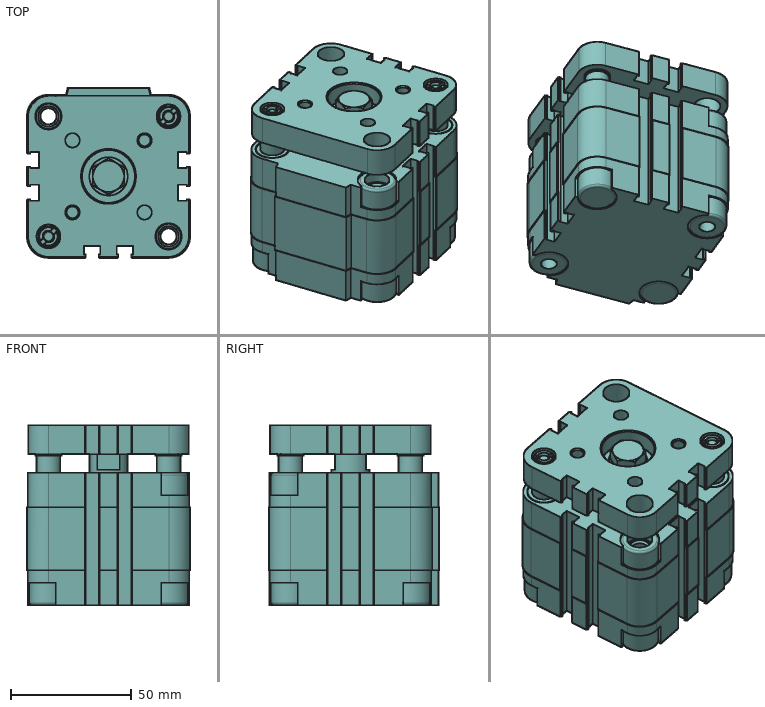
import cadquery as cq
import math

TOTAL_HEIGHT = 75.0
PLATE_THICKNESS = 12.0
PLATE_BOTTOM = TOTAL_HEIGHT - PLATE_THICKNESS
HOUSING_HEIGHT = 55.3
BARREL_BOTTOM = 14.7
BARREL_TOP = 40.9

CORNER_CENTRE = 25.0
BARREL_HALF = 34.0
CAP_HALF = 33.7
PLATE_HALF = 33.5

BARREL_RAIL_Y = 37.0
RAIL_SETBACK = BARREL_HALF - CAP_HALF
CAP_RAIL_Y = BARREL_RAIL_Y - RAIL_SETBACK
RAIL_TOP_HALF = 17.0
RAIL_BASE_HALF = 17.7

SLOT_OFFSET = 6.8
SLOT_FLOOR = 29.0
SLOT_LIP = 32.5
SLOT_HALF = 3.3
MOUTH_HALF = 2.7
MOUTH_CHAMFER = 0.4

SEAT_RADIUS = 8.1
SEAT_HEIGHT = 9.5
SEAT_INNER = 22.0
SEAT_FILLET = 1.0

CUT_MARGIN = 1.0

MOUNT_DIAMETER = 6.65
MOUNT_HEAD_DIAMETER = 10.4
MOUNT_HEAD_DEPTH = 4.2
MOUNT_SINK_DIAMETER = 8.57
MOUNT_SINK_DEPTH = (MOUNT_SINK_DIAMETER - MOUNT_DIAMETER) / 2

ROD_DIAMETER = 16.0
ROD_FLATS = 13.0
ROD_FLATS_BOTTOM = 56.5
GUIDE_DIAMETER = 10.0
GUIDE_COLLAR_DIAMETER = 11.0
GUIDE_COLLAR_HEIGHT = 0.7
ROD_INSERTION = 40.0
ROD_END = HOUSING_HEIGHT - ROD_INSERTION
BUSH_DIAMETER = 14.0
BUSH_GROOVE_WIDTH = 0.2
BUSH_GROOVE_DEPTH = 0.1

ACCESS_DIAMETER = 11.0
THREAD_CENTRE = 15.0
DOWEL_DIAMETER = 6.0
THREAD_DIAMETER = 4.92
THREAD_CHAMFER = (DOWEL_DIAMETER - THREAD_DIAMETER) / 2
RECESS_DIAMETER = 22.0
RECESS_DEPTH = 8.0
RECESS_CHAMFER = 0.5

WASHER_DIAMETER = 16.0
WASHER_THICKNESS = 1.6
HEAD_FLATS = 13.0
HEAD_HEIGHT = 5.3
HEAD_CHAMFER_ANGLE = 30.0

END_RECESS_DIAMETER = 10.0
END_GAP_DEPTH = 2.2
END_FACE_DIAMETER = 8.57
END_FACE_SETBACK = 0.2
END_FACE_CHAMFER = 0.5
END_SLOT_WIDTH = 2.0
END_SLOT_DEPTH = 1.3
END_BORE_DEPTH = 1.5
END_BORE_DIAMETER = 4.92
END_BORE_FLOOR_DIAMETER = 4.0

GUIDE_POINTS = [(-CORNER_CENTRE, -CORNER_CENTRE), (CORNER_CENTRE, CORNER_CENTRE)]
MOUNT_POINTS = [(-CORNER_CENTRE, CORNER_CENTRE), (CORNER_CENTRE, -CORNER_CENTRE)]
THREAD_POINTS = [(-THREAD_CENTRE, -THREAD_CENTRE), (THREAD_CENTRE, THREAD_CENTRE)]
DOWEL_POINTS = [(-THREAD_CENTRE, THREAD_CENTRE), (THREAD_CENTRE, -THREAD_CENTRE)]


def cylinder(diameter, bottom, top, point=(0, 0)):
    """Upright cylinder between two heights."""
    base = cq.Workplane("XY", origin=(point[0], point[1], bottom))
    return base.circle(diameter / 2).extrude(top - bottom)


def cone(bottom_diameter, top_diameter, bottom, top, point=(0, 0)):
    """Upright truncated cone between two heights."""
    base = cq.Vector(point[0], point[1], bottom)
    return cq.Workplane(cq.Solid.makeCone(bottom_diameter / 2, top_diameter / 2, top - bottom, base))


def rounded_square(half, bottom, top):
    """Square block whose corners are round about the corner axes."""
    base = cq.Workplane("XY").workplane(offset=bottom)
    block = base.rect(2 * half, 2 * half).extrude(top - bottom)
    return block.edges("|Z").fillet(half - CORNER_CENTRE)


def side_slots(half, bottom, top):
    """Pairs of undercut slots on the -Y, +X and -X sides of a square block."""
    outside = half + CUT_MARGIN
    mouth_end = half - MOUTH_CHAMFER
    flare = MOUTH_HALF + MOUTH_CHAMFER + CUT_MARGIN
    right_side = [
        (SLOT_HALF, -SLOT_FLOOR),
        (SLOT_HALF, -SLOT_LIP),
        (MOUTH_HALF, -SLOT_LIP),
        (MOUTH_HALF, -mouth_end),
        (flare, -outside),
    ]
    left_side = [(-x, y) for x, y in reversed(right_side)]
    base = cq.Workplane("XY").workplane(offset=bottom)
    slot = base.polyline(right_side + left_side).close().extrude(top - bottom)
    pair = slot.translate((-SLOT_OFFSET, 0, 0)).add(slot.translate((SLOT_OFFSET, 0, 0)))
    slots = cq.Workplane("XY")
    for angle in (-90, 0, 90):
        for cutter in pair.vals():
            slots = slots.add(cutter.rotate((0, 0, 0), (0, 0, 1), angle))
    return slots.combine()


def housing_section(half, rail_y, bottom, top):
    """Slotted square section with the sensor rail on its +Y side."""
    inset = BARREL_HALF - half
    rail_outline = [
        (-RAIL_BASE_HALF + inset, 0),
        (-RAIL_BASE_HALF + inset, half),
        (-RAIL_TOP_HALF + inset, rail_y),
        (RAIL_TOP_HALF - inset, rail_y),
        (RAIL_BASE_HALF - inset, half),
        (RAIL_BASE_HALF - inset, 0),
    ]
    base = cq.Workplane("XY").workplane(offset=bottom)
    rail = base.polyline(rail_outline).close().extrude(top - bottom)
    section = rounded_square(half, bottom, top).union(rail)
    return section.cut(side_slots(half, bottom, top))


def corner_relief(point, bottom, rounded_face):
    """Material removed around one round corner seat, including its rounded rim."""
    reach = CAP_HALF + CUT_MARGIN - SEAT_INNER
    middle = SEAT_INNER + reach / 2
    x = math.copysign(middle, point[0])
    y = math.copysign(middle, point[1])
    block = cq.Workplane("XY", origin=(x, y, bottom)).rect(reach, reach).extrude(SEAT_HEIGHT)
    seat = cylinder(2 * SEAT_RADIUS, bottom, bottom + SEAT_HEIGHT, point)
    return block.union(seat).cut(seat.faces(rounded_face).fillet(SEAT_FILLET))


def make_housing():
    """Fixed body: barrel, end caps, sensor rail, mounting holes and rod bores."""
    housing = housing_section(BARREL_HALF, BARREL_RAIL_Y, BARREL_BOTTOM, BARREL_TOP)
    for bottom, top in ((0, BARREL_BOTTOM), (BARREL_TOP, HOUSING_HEIGHT)):
        housing = housing.union(housing_section(CAP_HALF, CAP_RAIL_Y, bottom, top))

    for point in GUIDE_POINTS + MOUNT_POINTS:
        housing = housing.cut(corner_relief(point, 0, "<Z"))
    for point in MOUNT_POINTS:
        housing = housing.cut(corner_relief(point, HOUSING_HEIGHT - SEAT_HEIGHT, ">Z"))

    head_floor = HOUSING_HEIGHT - MOUNT_HEAD_DEPTH
    sink_floor = head_floor - MOUNT_SINK_DEPTH
    for point in MOUNT_POINTS:
        housing = housing.cut(cylinder(MOUNT_DIAMETER, 0, HOUSING_HEIGHT, point))
        housing = housing.cut(cylinder(MOUNT_HEAD_DIAMETER, head_floor, HOUSING_HEIGHT, point))
        housing = housing.cut(cone(MOUNT_DIAMETER, MOUNT_SINK_DIAMETER, sink_floor, head_floor, point))

    housing = housing.cut(cylinder(ROD_DIAMETER, ROD_END, HOUSING_HEIGHT))
    groove_floor = HOUSING_HEIGHT - BUSH_GROOVE_DEPTH
    bush_inner = BUSH_DIAMETER - 2 * BUSH_GROOVE_WIDTH
    for point in GUIDE_POINTS:
        housing = housing.cut(cylinder(GUIDE_DIAMETER, ROD_END, HOUSING_HEIGHT, point))
        groove = cylinder(BUSH_DIAMETER, groove_floor, HOUSING_HEIGHT, point)
        housing = housing.cut(groove.cut(cylinder(bush_inner, groove_floor, HOUSING_HEIGHT, point)))
    return housing


def make_piston_rod():
    """Round rod with two wrench flats facing -Y and +Y below the plate."""
    flats = (
        cq.Workplane("XY")
        .workplane(offset=ROD_FLATS_BOTTOM)
        .rect(ROD_DIAMETER, ROD_FLATS)
        .extrude(PLATE_BOTTOM - ROD_FLATS_BOTTOM)
    )
    upper = cylinder(ROD_DIAMETER, ROD_FLATS_BOTTOM, PLATE_BOTTOM).intersect(flats)
    return cylinder(ROD_DIAMETER, ROD_END, ROD_FLATS_BOTTOM).union(upper)


def make_guide_rod(point):
    """Round guide rod with a thin collar under the plate."""
    rod = cylinder(GUIDE_DIAMETER, ROD_END, PLATE_BOTTOM, point)
    collar_bottom = PLATE_BOTTOM - GUIDE_COLLAR_HEIGHT
    return rod.union(cylinder(GUIDE_COLLAR_DIAMETER, collar_bottom, PLATE_BOTTOM, point))


def make_centre_screw(floor):
    """Washer and chamfered hexagon head standing on the recess floor."""
    washer_top = floor + WASHER_THICKNESS
    head_top = washer_top + HEAD_HEIGHT
    across_corners = HEAD_FLATS / math.cos(math.radians(30))
    hexagon = (
        cq.Workplane("XY")
        .workplane(offset=washer_top)
        .polygon(6, across_corners)
        .extrude(HEAD_HEIGHT)
        .rotate((0, 0, 0), (0, 0, 1), 90)
    )
    corner_drop = (across_corners - HEAD_FLATS) / 2 * math.tan(math.radians(HEAD_CHAMFER_ANGLE))
    envelope = (
        cq.Workplane("XZ")
        .moveTo(0, washer_top)
        .lineTo(across_corners / 2, washer_top)
        .lineTo(across_corners / 2, head_top - corner_drop)
        .lineTo(HEAD_FLATS / 2, head_top)
        .lineTo(0, head_top)
        .close()
        .revolve(360, (0, 0, 0), (0, 1, 0))
    )
    return cylinder(WASHER_DIAMETER, floor, washer_top).union(hexagon.intersect(envelope))


def guide_end_cut(point):
    """Round recess that leaves the slotted, chamfered and bored end of a guide rod standing."""
    gap_floor = TOTAL_HEIGHT - END_GAP_DEPTH
    slot_floor = TOTAL_HEIGHT - END_SLOT_DEPTH
    bore_floor = TOTAL_HEIGHT - END_BORE_DEPTH
    face = TOTAL_HEIGHT - END_FACE_SETBACK
    slot = (
        cq.Workplane("XY", origin=(0, 0, slot_floor))
        .rect(END_RECESS_DIAMETER, END_SLOT_WIDTH)
        .extrude(END_SLOT_DEPTH)
        .rotate((0, 0, 0), (0, 0, 1), 45)
        .translate((point[0], point[1], 0))
    )
    bore = cone(END_BORE_FLOOR_DIAMETER, END_BORE_DIAMETER, bore_floor, face, point)
    rod_end = cylinder(END_FACE_DIAMETER, gap_floor, face, point).faces(">Z").chamfer(END_FACE_CHAMFER)
    rod_end = rod_end.cut(bore).cut(slot)
    return cylinder(END_RECESS_DIAMETER, gap_floor, TOTAL_HEIGHT, point).cut(rod_end)


def make_plate():
    """Slotted square plate with its holes, centre recess and guide rod ends."""
    plate = rounded_square(PLATE_HALF, PLATE_BOTTOM, TOTAL_HEIGHT)
    plate = plate.cut(side_slots(PLATE_HALF, PLATE_BOTTOM, TOTAL_HEIGHT))

    for diameter, points in (
        (ACCESS_DIAMETER, MOUNT_POINTS),
        (DOWEL_DIAMETER, DOWEL_POINTS),
        (THREAD_DIAMETER, THREAD_POINTS),
    ):
        for point in points:
            plate = plate.cut(cylinder(diameter, PLATE_BOTTOM, TOTAL_HEIGHT, point))
    mouth_bottom = TOTAL_HEIGHT - THREAD_CHAMFER
    for point in THREAD_POINTS:
        plate = plate.cut(cone(THREAD_DIAMETER, DOWEL_DIAMETER, mouth_bottom, TOTAL_HEIGHT, point))

    plate = plate.cut(cylinder(RECESS_DIAMETER, TOTAL_HEIGHT - RECESS_DEPTH, TOTAL_HEIGHT))
    rim_diameter = RECESS_DIAMETER + 2 * RECESS_CHAMFER
    plate = plate.cut(cone(RECESS_DIAMETER, rim_diameter, TOTAL_HEIGHT - RECESS_CHAMFER, TOTAL_HEIGHT))

    for point in GUIDE_POINTS:
        plate = plate.cut(guide_end_cut(point))
    return plate


def make_slide():
    """Moving body: plate, piston rod, guide rods and centre screw."""
    slide = make_plate().union(make_piston_rod())
    for point in GUIDE_POINTS:
        slide = slide.union(make_guide_rod(point))
    return slide.union(make_centre_screw(TOTAL_HEIGHT - RECESS_DEPTH))


housing = make_housing()
slide = make_slide()

result = cq.Compound.makeCompound([housing.val(), slide.val()])